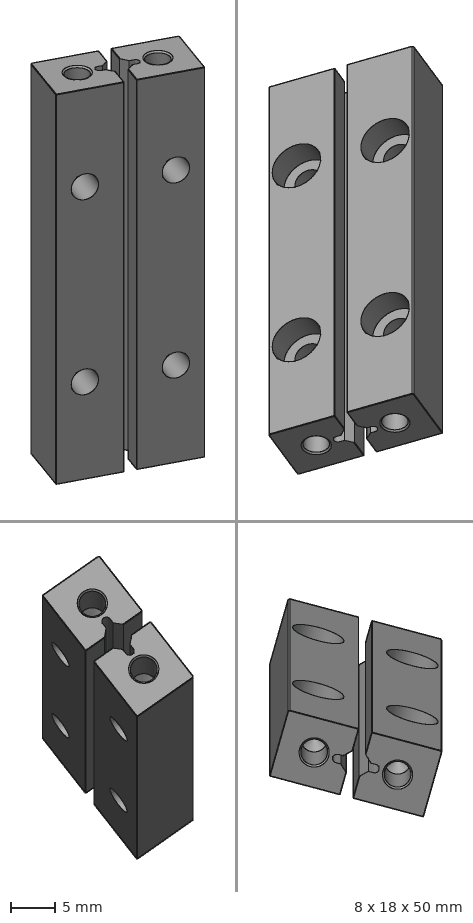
import cadquery as cq
import math

length = 50.0
depth = 8.0
overall_width = 18.0
gap = 1.5
corner_chamfer = 0.175
edge_break = 0.07

inner_y = gap / 2
outer_y = overall_width / 2
rail_center_y = (inner_y + outer_y) / 2

groove_half_mouth = 1.35
relief_radius = 0.5
relief_bottom = 1.95

mount_diameter = 3.3
counterbore_diameter = 6.0
counterbore_depth = 3.2
mount_y = 5.5
mount_spacing = 25.0

end_hole_diameter = 3.0
end_hole_mouth = 3.4
end_hole_depth = 6.0
drill_tip_angle = 90.0
end_hole_y = rail_center_y


def rail_blank():
    """Bar on the +Y side with its edges broken, most of all the outer one on the -X side."""
    width = outer_y - inner_y
    bar = cq.Workplane("XY").box(depth, width, length).translate((0, rail_center_y, 0))
    bar = bar.edges("|Z").edges("<X and >Y").chamfer(corner_chamfer)
    bar = bar.edges("|Z").edges("<Y or >X").chamfer(edge_break)
    return bar.faces("<Z or >Z").edges().chamfer(edge_break)


def groove_cutter():
    """V groove with 45 degree flanks and a round-bottomed relief slot."""
    flank_end_y = inner_y + groove_half_mouth - relief_radius
    bottom_y = inner_y + relief_bottom
    arc_start_y = bottom_y - relief_radius
    return (
        cq.Workplane("XY")
        .workplane(offset=-length / 2)
        .moveTo(-groove_half_mouth, inner_y)
        .lineTo(-relief_radius, flank_end_y)
        .lineTo(-relief_radius, arc_start_y)
        .threePointArc((0, bottom_y), (relief_radius, arc_start_y))
        .lineTo(relief_radius, flank_end_y)
        .lineTo(groove_half_mouth, inner_y)
        .close()
        .extrude(length)
    )


def mounting_hole_cutter(z):
    """Through hole along X, counterbored from the -X side."""
    seat = cq.Workplane("YZ", origin=(-depth / 2, mount_y, z))
    through = seat.circle(mount_diameter / 2).extrude(depth)
    counterbore = seat.circle(counterbore_diameter / 2).extrude(counterbore_depth)
    return through.union(counterbore)


def end_hole_cutter():
    """Drilled blind hole in the +Z end with a 45 degree mouth and a conical tip."""
    radius = end_hole_diameter / 2
    mouth_radius = end_hole_mouth / 2
    top = length / 2
    mouth_bottom = top - (mouth_radius - radius)
    bore_bottom = top - end_hole_depth
    tip = bore_bottom - radius / math.tan(math.radians(drill_tip_angle / 2))
    return (
        cq.Workplane("XZ")
        .moveTo(0, top)
        .lineTo(mouth_radius, top)
        .lineTo(radius, mouth_bottom)
        .lineTo(radius, bore_bottom)
        .lineTo(0, tip)
        .close()
        .revolve(360, (0, 0, 0), (0, 1, 0))
        .translate((0, end_hole_y, 0))
    )


def make_rail():
    """Complete rail on the +Y side."""
    rail = rail_blank().cut(groove_cutter())
    for z in (-mount_spacing / 2, mount_spacing / 2):
        rail = rail.cut(mounting_hole_cutter(z))
    top_hole = end_hole_cutter()
    return rail.cut(top_hole).cut(top_hole.mirror("XY"))


rear_rail = make_rail()
front_rail = rear_rail.mirror("XZ")

result = cq.Compound.makeCompound([rear_rail.val(), front_rail.val()])